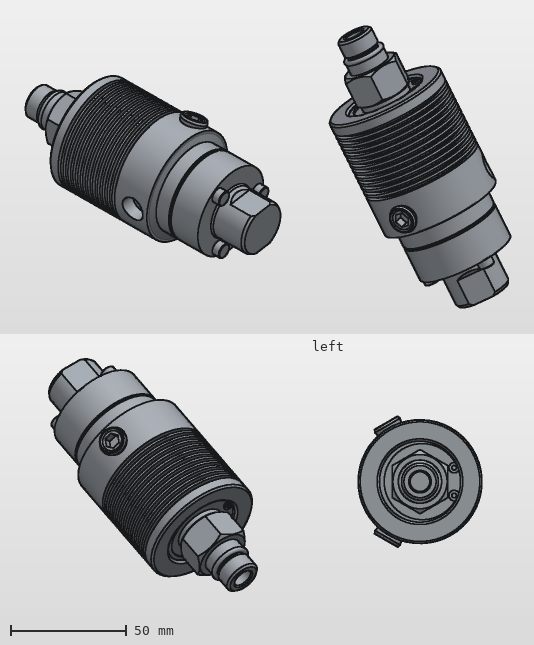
import cadquery as cq
import math


total_length = 128.97
total_height = 56.51

thread_dia = 15.97
thread_chamfer = 1.0
thread_length = 8.35
relief_dia = 13.89
seal_dia = 18.72
seal_width = 2.4
seal_start = 8.7
collar_dia = 17.99
hex_start = 15.6
hex_flats = 24.0
hex_chamfer_length = 1.45
hex_chamfer_dia = 23.4
hex_end = 30.0
shaft_dia = 22.6
shaft_end = 45.0
bore_dia = 8.5
bore_mouth_dia = 9.7
bore_depth = 25.0

housing_start = 30.4
housing_dia = 53.45
housing_chamfer = 0.9
fin_root_dia = 48.3
cut_margin = 1.0
groove_count = 12
groove_width = 1.5
groove_pitch = 2.78
first_groove = 35.55
barrel_end = 86.0
shoulder_dia = 50.8
shoulder_length = 1.05

recess_mouth_dia = 37.0
recess_dia = 35.0
recess_chamfer = (recess_mouth_dia - recess_dia) / 2
recess_depth = 2.2
ring_thickness = 0.9
ring_inner_radius = 16.43
ring_inner_offset = 0.96
ear_y = -14.75
ear_z = 6.0
ear_dia = 4.5
ear_hole_dia = 2.0

flange_dia = 43.6
ring_bevel = 0.4
ring_bevel_start = 94.2
ring_gap_width = 0.7
flange_end = 110.75
connector_dia = 25.3
connector_root_dia = 26.3
connector_root_length = 1.0
connector_chamfer_length = 1.4
connector_chamfer = 0.75
connector_flats = 22.0
flat_start = 116.0
flat_runout_length = 1.9

screw_count = 3
screw_circle_radius = 17.4
screw_head_dia = 7.0
screw_head_height = 3.9
screw_chamfer = 0.3

port_x = 77.9
port_dia = 11.5
port_depth = 6.8
open_port_angle = 180
plug_angles = (60, -60)
plug_widest_radius = 6.3
plug_widest_height = 28.0
plug_top_radius = 5.8
plug_tilt = math.radians(plug_angles[0])
plug_top = (total_height / 2 - plug_top_radius * math.cos(plug_tilt)) / math.sin(plug_tilt)
plug_base = 23.0
plug_shank_sink = 1.0
dish_mouth_radius = 5.36
dish_floor_radius = 4.5
dish_depth = 0.4
socket_flats = 6.0
socket_depth = 4.6


def revolve_about_x(points):
    """Solid of revolution about X from (x, radius) points; closed along the axis."""
    outline = [(points[0][0], 0)] + points + [(points[-1][0], 0)]
    return cq.Workplane("XY").polyline(outline).close().revolve(360, (0, 0, 0), (1, 0, 0))


def x_cylinder(start, length, dia, y=0, z=0):
    return cq.Workplane("YZ", origin=(start, y, z)).circle(dia / 2).extrude(length)


def turn_about_x(body, angle):
    return body.rotate((0, 0, 0), (1, 0, 0), angle)


def chamfered_hexagon():
    corner_dia = hex_flats / math.cos(math.radians(30))
    prism = (
        cq.Workplane("YZ", origin=(hex_start, 0, 0))
        .polygon(6, corner_dia)
        .extrude(hex_end - hex_start)
        .rotate((0, 0, 0), (1, 0, 0), 90)
    )
    envelope = revolve_about_x([
        (hex_start, hex_chamfer_dia / 2),
        (hex_start + hex_chamfer_length, corner_dia / 2),
        (hex_end - hex_chamfer_length, corner_dia / 2),
        (hex_end, hex_chamfer_dia / 2),
    ])
    return prism.intersect(envelope)


def sealing_ring():
    centre_radius = (seal_dia - seal_width) / 2
    return (
        cq.Workplane("XY")
        .center(seal_start + seal_width / 2, centre_radius)
        .circle(seal_width / 2)
        .revolve(360, (0, -centre_radius, 0), (1, -centre_radius, 0))
    )


def make_rotor():
    nipple = revolve_about_x([
        (0, relief_dia / 2),
        (thread_chamfer, thread_dia / 2),
        (thread_length - thread_chamfer, thread_dia / 2),
        (thread_length, relief_dia / 2),
        (seal_start + seal_width / 2, relief_dia / 2),
        (seal_start + seal_width / 2, collar_dia / 2),
        (hex_start, collar_dia / 2),
    ])
    shaft = x_cylinder(hex_end, shaft_end - hex_end, shaft_dia)
    mouth_chamfer = (bore_mouth_dia - bore_dia) / 2
    bore = revolve_about_x([
        (0, bore_mouth_dia / 2),
        (mouth_chamfer, bore_dia / 2),
        (bore_depth, bore_dia / 2),
    ])
    return nipple.union(sealing_ring()).union(chamfered_hexagon()).union(shaft).cut(bore)


def barrel_and_flange():
    radius = housing_dia / 2
    flange_radius = flange_dia / 2
    gap_start = ring_bevel_start + ring_bevel
    gap_end = gap_start + ring_gap_width
    return revolve_about_x([
        (housing_start, radius - housing_chamfer),
        (housing_start + housing_chamfer, radius),
        (barrel_end, radius),
        (barrel_end, shoulder_dia / 2),
        (barrel_end + shoulder_length, flange_radius),
        (ring_bevel_start, flange_radius),
        (gap_start, flange_radius - ring_bevel),
        (gap_end, flange_radius - ring_bevel),
        (gap_end, flange_radius),
        (flange_end, flange_radius),
    ])


def cooling_grooves():
    grooves = cq.Workplane("XY")
    for index in range(groove_count):
        start = first_groove + index * groove_pitch
        ring = x_cylinder(start, groove_width, housing_dia + cut_margin)
        grooves = grooves.add(ring.cut(x_cylinder(start, groove_width, fin_root_dia)))
    return grooves.combine()


def rotor_recess():
    return revolve_about_x([
        (housing_start, recess_mouth_dia / 2),
        (housing_start + recess_chamfer, recess_dia / 2),
        (housing_start + recess_depth, recess_dia / 2),
    ])


def retaining_ring():
    start = housing_start + recess_depth - ring_thickness
    ring = x_cylinder(start, ring_thickness, recess_dia)
    ring = ring.cut(x_cylinder(start, ring_thickness, 2 * ring_inner_radius, y=-ring_inner_offset))
    opening = (
        cq.Workplane("YZ", origin=(start, -recess_dia / 4, 0))
        .rect(recess_dia / 2, 2 * ear_z)
        .extrude(ring_thickness)
    )
    ring = ring.cut(opening)
    seat = x_cylinder(start, ring_thickness, recess_dia)
    for side in (1, -1):
        ear = x_cylinder(start, ring_thickness, ear_dia, ear_y, side * ear_z).intersect(seat)
        hole = x_cylinder(start, ring_thickness, ear_hole_dia, ear_y, side * ear_z)
        ring = ring.union(ear).cut(hole)
    return ring


def connector():
    radius = connector_dia / 2
    body = revolve_about_x([
        (flange_end, connector_root_dia / 2),
        (flange_end + connector_root_length, radius),
        (total_length - connector_chamfer_length, radius),
        (total_length, radius - connector_chamfer),
    ])
    half_flats = connector_flats / 2
    wrench_cut = (
        cq.Workplane("XZ")
        .polyline([
            (flat_start - flat_runout_length, radius),
            (flat_start, half_flats),
            (total_length, half_flats),
            (total_length, radius),
        ])
        .close()
        .extrude(radius, both=True)
    )
    return body.cut(wrench_cut).cut(wrench_cut.mirror("XY"))


def flange_screws():
    head = x_cylinder(flange_end, screw_head_height, screw_head_dia, y=screw_circle_radius)
    head = head.faces(">X").chamfer(screw_chamfer)
    screws = cq.Workplane("XY")
    for index in range(screw_count):
        screws = screws.add(turn_about_x(head, index * 360 / screw_count))
    return screws.combine()


def open_port():
    floor = housing_dia / 2 - port_depth
    hole = cq.Workplane("XZ", origin=(port_x, floor, 0)).circle(port_dia / 2).extrude(-2 * port_depth)
    return turn_about_x(hole, open_port_angle)


def plug_head():
    """Plug head pointing along +Y, outlined by (radius, height above the axis)."""
    dish_floor = plug_top - dish_depth
    return (
        cq.Workplane("XY")
        .polyline([
            (0, plug_base),
            (port_dia / 2, plug_base),
            (port_dia / 2, housing_dia / 2 - plug_shank_sink),
            (plug_widest_radius, plug_widest_height),
            (plug_top_radius, plug_top),
            (dish_mouth_radius, plug_top),
            (dish_floor_radius, dish_floor),
            (0, dish_floor),
        ])
        .close()
        .revolve(360, (0, 0, 0), (0, 1, 0))
        .translate((port_x, 0, 0))
    )


def plug_socket():
    corner_dia = socket_flats / math.cos(math.radians(30))
    floor = plug_top - dish_depth - socket_depth
    socket = cq.Workplane("XZ", origin=(port_x, floor, 0)).polygon(6, corner_dia).extrude(-2 * socket_depth)
    return socket.rotate((port_x, 0, 0), (port_x, 1, 0), 90)


def make_housing():
    housing = barrel_and_flange().cut(cooling_grooves())
    housing = housing.cut(rotor_recess()).union(retaining_ring())
    housing = housing.union(connector()).union(flange_screws())
    housing = housing.cut(open_port())
    for angle in plug_angles:
        housing = housing.union(turn_about_x(plug_head(), angle))
        housing = housing.cut(turn_about_x(plug_socket(), angle))
    return housing.cut(x_cylinder(housing_start, shaft_end - housing_start, shaft_dia))


rotor = make_rotor()
housing = make_housing()

result = cq.Compound.makeCompound([rotor.val(), housing.val()])